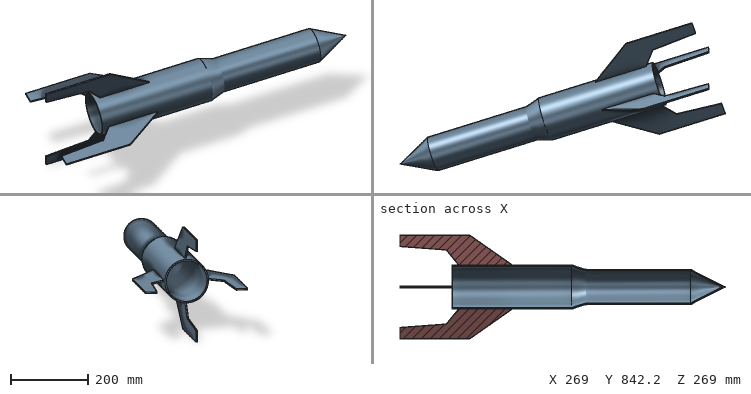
import cadquery as cq
import math

overall_length = 842.22
wall = 4.0

aft_radius = 57.5
forward_radius = 45.5
aft_length = 310.0
shoulder_length = 38.0
forward_length = 270.0

fin_count = 4
fin_height = 77.0
fin_thickness = 4.0
fin_overhang = 135.0
fin_root_front_y = 155.0
fin_root_rear_y = 16.0
fin_shoulder_y = 45.0
fin_notch_height = 38.0
fin_notch_y = -15.0
fin_foot_width = 30.0

shoulder_y = aft_length
forward_y = shoulder_y + shoulder_length
nose_y = forward_y + forward_length
tip_y = overall_length - fin_overhang
fin_outer_radius = aft_radius + fin_height
fin_notch_radius = aft_radius + fin_notch_height
fin_foot_radius = fin_outer_radius - fin_foot_width


def make_airframe():
    """Hollow body of revolution: aft tube, conical shoulder, forward tube and pointed nose."""
    nose_angle = math.atan2(forward_radius, tip_y - nose_y)
    shoulder_angle = math.atan2(aft_radius - forward_radius, shoulder_length)
    nose_shift = wall * math.tan(nose_angle / 2)
    shoulder_shift = wall * math.tan(shoulder_angle / 2)
    inner_aft_radius = aft_radius - wall
    inner_forward_radius = forward_radius - wall
    inner_tip_y = tip_y - wall / math.sin(nose_angle)
    return (
        cq.Workplane("XY")
        .moveTo(aft_radius, 0)
        .lineTo(aft_radius, shoulder_y)
        .lineTo(forward_radius, forward_y)
        .lineTo(forward_radius, nose_y)
        .lineTo(0, tip_y)
        .lineTo(0, inner_tip_y)
        .lineTo(inner_forward_radius, nose_y - nose_shift)
        .lineTo(inner_forward_radius, forward_y - shoulder_shift)
        .lineTo(inner_aft_radius, shoulder_y - shoulder_shift)
        .lineTo(inner_aft_radius, 0)
        .close()
        .revolve(360, (0, 0, 0), (0, 1, 0))
    )


def make_fin(angle):
    """Flat swept fin whose root follows the outside of the aft tube, turned about the rocket axis."""
    blank_radius = aft_radius - wall / 2
    blank = (
        cq.Workplane("XY")
        .moveTo(blank_radius, fin_root_front_y)
        .lineTo(aft_radius, fin_root_front_y)
        .lineTo(fin_outer_radius, fin_shoulder_y)
        .lineTo(fin_outer_radius, -fin_overhang)
        .lineTo(fin_foot_radius, -fin_overhang)
        .lineTo(fin_notch_radius, fin_notch_y)
        .lineTo(aft_radius, fin_root_rear_y)
        .lineTo(blank_radius, fin_root_rear_y)
        .close()
        .extrude(fin_thickness / 2, both=True)
    )
    tube_core = cq.Workplane("XZ").circle(aft_radius).extrude(-aft_length)
    return blank.cut(tube_core).rotate((0, 0, 0), (0, 1, 0), angle)


airframe = make_airframe()
fins = [make_fin(360 / fin_count * index) for index in range(fin_count)]

result = cq.Compound.makeCompound([airframe.val(), *[fin.val() for fin in fins]])